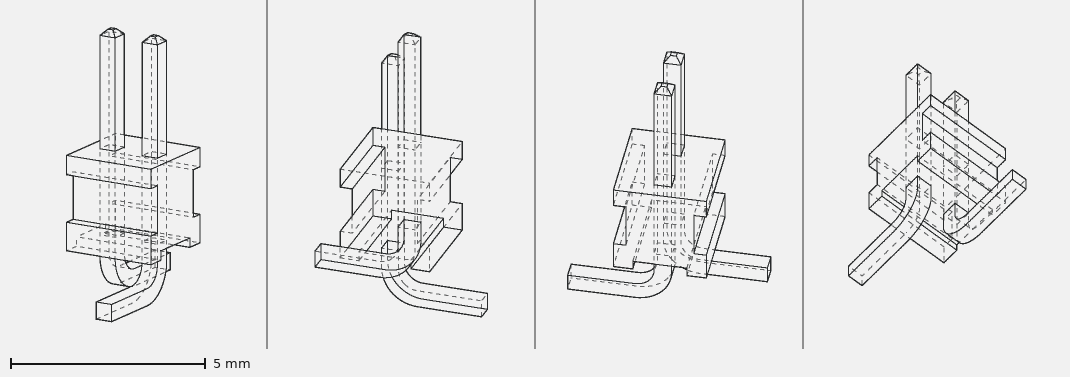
import cadquery as cq

total_height = 6.99
leg_span = 4.98

housing_length = 2.54
housing_width = 2.43
housing_height = 2.545
housing_bottom = 1.27
housing_top = housing_bottom + housing_height
groove_bottom = 2.035
groove_top = 3.3
groove_depth = 0.33
notch_width = 1.41
notch_height = 0.25

pin_pitch = housing_length / 2
pin_size = 0.46
tip_chamfer = 0.155
bend_inner_radius = 0.5
bend_outer_radius = bend_inner_radius + pin_size


def make_blank():
    """Plain housing block, centred on the Z axis."""
    return cq.Workplane("XY").workplane(offset=housing_bottom).box(
        housing_length, housing_width, housing_height, centered=(True, True, False)
    )


def cut_side_groove(body, side):
    """Cut the groove that runs along X in the +Y or -Y face."""
    groove = cq.Workplane("XY").box(
        housing_length, 2 * groove_depth, groove_top - groove_bottom
    ).translate((0, side * housing_width / 2, (groove_bottom + groove_top) / 2))
    return body.cut(groove)


def cut_bottom_notch(body):
    """Cut the channel that runs along X in the underside."""
    notch = cq.Workplane("XY").workplane(offset=housing_bottom).box(
        housing_length, notch_width, notch_height, centered=(True, True, False)
    )
    return body.cut(notch)


def cut_pin_hole(body, x):
    """Cut a square through hole that fits one pin."""
    hole = cq.Workplane("XY").workplane(offset=housing_bottom).box(
        pin_size, pin_size, housing_height, centered=(True, True, False)
    ).translate((x, 0, 0))
    return body.cut(hole)


def make_pin(x, side):
    """Square pin with a chamfered tip and a foot bent towards +Y (side 1) or -Y (side -1)."""
    half = pin_size / 2
    straight_height = total_height - bend_outer_radius
    post = cq.Workplane("XY").workplane(offset=bend_outer_radius).rect(
        pin_size, pin_size
    ).extrude(straight_height)
    post = post.faces(">Z").chamfer(tip_chamfer)

    bend_center_y = bend_inner_radius + half
    foot = (
        cq.Workplane("YZ")
        .moveTo(-half, bend_outer_radius)
        .radiusArc((bend_center_y, 0), -bend_outer_radius)
        .lineTo(leg_span / 2, 0)
        .lineTo(leg_span / 2, pin_size)
        .lineTo(bend_center_y, pin_size)
        .radiusArc((half, bend_outer_radius), bend_inner_radius)
        .close()
        .extrude(half, both=True)
    )
    pin = post.union(foot)
    if side < 0:
        pin = pin.rotate((0, 0, 0), (0, 0, 1), 180)
    return pin.translate((x, 0, 0))


pin_layout = [(-pin_pitch / 2, 1), (pin_pitch / 2, -1)]

housing = cut_bottom_notch(make_blank())
for groove_side in (1, -1):
    housing = cut_side_groove(housing, groove_side)

pins = []
for pin_x, foot_side in pin_layout:
    housing = cut_pin_hole(housing, pin_x)
    pins.append(make_pin(pin_x, foot_side).val())

result = cq.Compound.makeCompound([housing.val(), *pins])